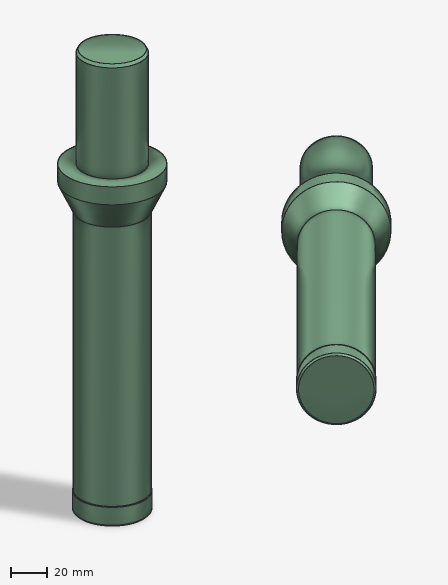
import cadquery as cq

total_height = 281.0
flange_top = 211.3
flange_bottom = 200.4
cone_bottom = 182.6
tip_height = 12.5

flange_radius = 60.0 / 2
shank_radius = 40.0 / 2
tip_radius = 43.8 / 2
tip_overhang = 0.42
barrel_radius = tip_radius - tip_overhang

shank_chamfer_height = 2.0
shank_chamfer_width = 1.0
tip_chamfer = 1.0
tip_shoulder_chamfer = tip_overhang


def make_shaft():
    """Turned shaft: barrel, conical collar with flange, and chamfered upper shank."""
    profile = [
        (0, tip_height),
        (barrel_radius, tip_height),
        (barrel_radius, cone_bottom),
        (flange_radius, flange_bottom),
        (flange_radius, flange_top),
        (shank_radius, flange_top),
        (shank_radius, total_height - shank_chamfer_height),
        (shank_radius - shank_chamfer_width, total_height),
        (0, total_height),
    ]
    return cq.Workplane("XZ").polyline(profile).close().revolve(360, (0, 0), (0, 1))


def make_tip():
    """Slightly wider disc, chamfered at both ends, seated against the lower end of the barrel."""
    disc = cq.Workplane("XY").circle(tip_radius).extrude(tip_height)
    disc = disc.faces("<Z").edges().chamfer(tip_chamfer)
    return disc.faces(">Z").edges().chamfer(tip_shoulder_chamfer)


shaft = make_shaft()
tip = make_tip()

result = cq.Compound.makeCompound([shaft.val(), tip.val()])